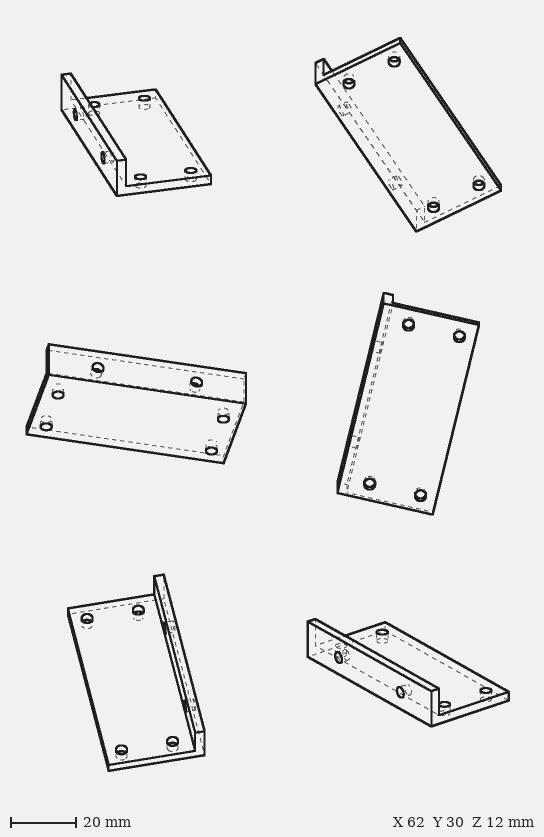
import cadquery as cq

length = 62.0
depth = 30.0
height = 12.0
thickness = 3.0

hole_diameter = 3.4
base_hole_inset = 5.0
base_hole_row_spacing = 16.0
wall_hole_spacing = length / 2
wall_hole_height = 5.7

base = cq.Workplane("XY").box(length, depth, thickness, centered=(True, False, False))
wall = cq.Workplane("XY").box(length, thickness, height, centered=(True, False, False))
bracket = base.union(wall)

base_hole_x = length / 2 - base_hole_inset
back_row_y = depth - base_hole_inset
front_row_y = back_row_y - base_hole_row_spacing
base_hole_centers = [(x, y) for x in (-base_hole_x, base_hole_x) for y in (front_row_y, back_row_y)]
base_holes = (
    cq.Workplane("XY")
    .pushPoints(base_hole_centers)
    .circle(hole_diameter / 2)
    .extrude(thickness)
)

wall_hole_centers = [(side * wall_hole_spacing / 2, wall_hole_height) for side in (-1, 1)]
wall_holes = (
    cq.Workplane("XZ")
    .pushPoints(wall_hole_centers)
    .circle(hole_diameter / 2)
    .extrude(-thickness)
)

result = bracket.cut(base_holes).cut(wall_holes)